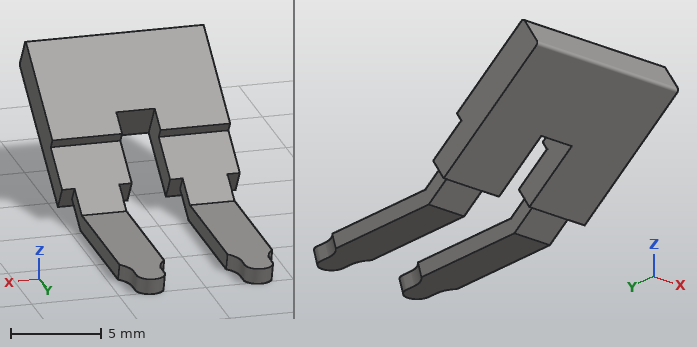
import cadquery as cq
import math


overall_length = 21.17

block_width = 10.2
block_length = 9.8
block_height = 2.3
block_tilt = math.radians(34)
end_fillet = 0.2

tongue_length = 2.92
tongue_height = 1.64

slot_width = 2.2
slot_depth = 4.4

pin_width = 2.57
pin_thickness = 1.0
pin_pitch = 6.2
neck_length = 2.15

tip_lean = block_tilt / 2
nose_radius = 0.8
nose_straight = 0.62
shoulder_length = 1.15

pin_underside = tongue_height - pin_thickness
far_end_y = -(
    (neck_length + block_length - end_fillet) * math.cos(block_tilt)
    - (end_fillet - pin_underside) * math.sin(block_tilt)
    + end_fillet
)
tip_y = far_end_y + overall_length


def block_frame():
    """Plane with x along the block away from the pins and y up from its underside."""
    along = cq.Vector(0, -math.cos(block_tilt), math.sin(block_tilt))
    up = cq.Vector(0, math.sin(block_tilt), math.cos(block_tilt))
    origin = along * neck_length - up * pin_underside
    return cq.Plane(origin=origin.toTuple(), xDir=along.toTuple(), normal=along.cross(up).toTuple())


def make_block():
    """Stepped block with rounded far edges and an open slot at the pin end."""
    block = (
        cq.Workplane(block_frame())
        .moveTo(0, 0)
        .lineTo(block_length, 0)
        .lineTo(block_length, block_height)
        .lineTo(tongue_length, block_height)
        .lineTo(tongue_length, tongue_height)
        .lineTo(0, tongue_height)
        .close()
        .extrude(block_width / 2, both=True)
    )
    block = block.faces("<Y").edges("|X").fillet(end_fillet)
    slot_reach = 2 * block_height
    slot = (
        cq.Workplane(block_frame())
        .rect(2 * slot_depth, 2 * slot_reach)
        .extrude(slot_width / 2, both=True)
    )
    return block.cut(slot)


def make_bent_strip():
    """Flat strip of one pin, bent up at Y = 0 and running into the block by the tongue length."""
    bend_shift = pin_thickness * math.tan(block_tilt / 2)
    run = neck_length + tongue_length
    low_y = -run * math.cos(block_tilt)
    low_z = run * math.sin(block_tilt)
    high_y = low_y + pin_thickness * math.sin(block_tilt)
    high_z = low_z + pin_thickness * math.cos(block_tilt)
    return (
        cq.Workplane("YZ")
        .moveTo(0, 0)
        .lineTo(tip_y, 0)
        .lineTo(tip_y, pin_thickness)
        .lineTo(bend_shift, pin_thickness)
        .lineTo(high_y, high_z)
        .lineTo(low_y, low_z)
        .close()
        .extrude(pin_width / 2, both=True)
    )


def make_tip_prism():
    """Long leaning prism with the pin outline, its nose at the upper end of the pin tip."""
    half_width = pin_width / 2
    step = half_width - nose_radius
    shoulder_radius = (shoulder_length**2 + step**2) / (2 * step)
    half_turn = math.asin(shoulder_length / shoulder_radius) / 2
    nose_y = -nose_radius
    neck_y = nose_y - nose_straight
    shoulder_y = neck_y - shoulder_length
    middle_x = nose_radius + shoulder_radius * (1 - math.cos(half_turn))
    middle_y = neck_y - shoulder_radius * math.sin(half_turn)
    back_y = -overall_length
    outline_plane = cq.Plane(
        origin=(0, tip_y, pin_thickness),
        xDir=(1, 0, 0),
        normal=(0, math.sin(tip_lean), math.cos(tip_lean)),
    )
    return (
        cq.Workplane(outline_plane)
        .moveTo(-half_width, back_y)
        .lineTo(half_width, back_y)
        .lineTo(half_width, shoulder_y)
        .threePointArc((middle_x, middle_y), (nose_radius, neck_y))
        .lineTo(nose_radius, nose_y)
        .threePointArc((0, 0), (-nose_radius, nose_y))
        .lineTo(-nose_radius, neck_y)
        .threePointArc((-middle_x, middle_y), (-half_width, shoulder_y))
        .close()
        .extrude(overall_length, both=True)
    )


result = make_block()
base_pin = make_bent_strip().intersect(make_tip_prism())
for side in (-1, 1):
    pin = base_pin.translate((side * pin_pitch / 2, 0, 0))
    result = result.cut(pin, clean=False).union(pin, clean=False)